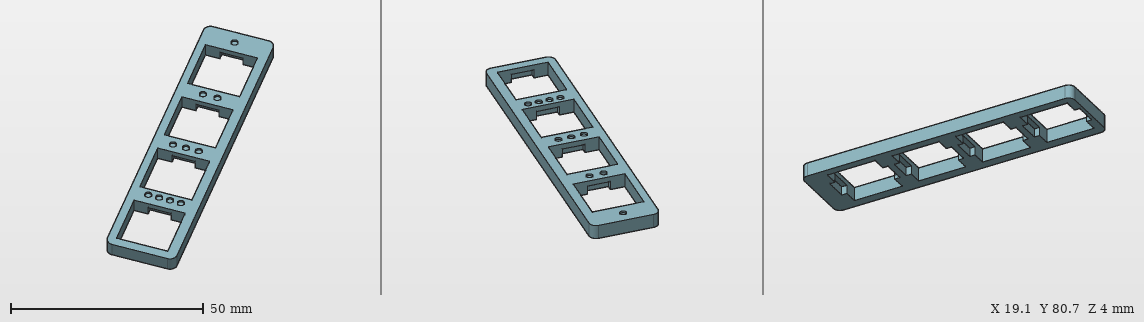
import cadquery as cq

width = 19.1
length = 80.7
thickness = 4.0
corner_radius = 1.9

window_sizes = [14.3, 14.05, 14.3, 14.05]
window_pitch = 19.1
window_x = -0.25
first_window_y = 26.6

lip_thickness = 1.5
recess_width = 6.3
recess_depth = 1.5

dot_diameter = 1.85
dot_depth = 0.6
dot_row_y = [36.9, 17.1, -2.1, -20.8]
dot_row_x = [-0.5, -0.4, -0.5, 0.1]
dot_spacing = [0, 3.95, 3.55, 3.0]


def window_cutter(size, y):
    """Square through opening with a wider clip recess below the lip."""
    opening = cq.Workplane("XY").box(size, size, thickness, centered=(True, True, False))
    recess = cq.Workplane("XY").box(
        recess_width,
        size + 2 * recess_depth,
        thickness - lip_thickness,
        centered=(True, True, False),
    )
    return opening.union(recess).translate((window_x, y, 0))


def dot_row_cutter(count, center_x, y, spacing):
    """Row of equally spaced blind round dots along X."""
    first_x = center_x - spacing * (count - 1) / 2
    centers = [(first_x + i * spacing, y) for i in range(count)]
    return (
        cq.Workplane("XY")
        .workplane(offset=thickness - dot_depth)
        .pushPoints(centers)
        .circle(dot_diameter / 2)
        .extrude(dot_depth)
    )


plate = (
    cq.Workplane("XY")
    .box(width, length, thickness, centered=(True, True, False))
    .edges("|Z")
    .fillet(corner_radius)
)

for index, size in enumerate(window_sizes):
    plate = plate.cut(window_cutter(size, first_window_y - index * window_pitch))

for index, (x, y, spacing) in enumerate(zip(dot_row_x, dot_row_y, dot_spacing)):
    plate = plate.cut(dot_row_cutter(index + 1, x, y, spacing))

result = plate